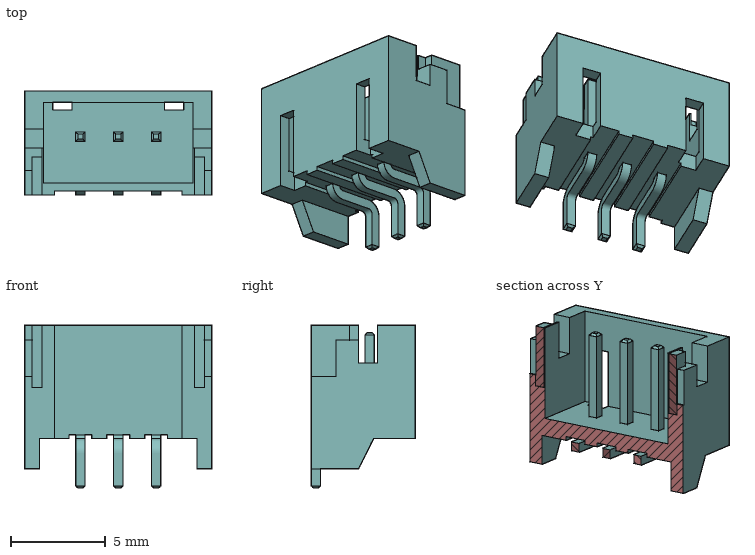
import cadquery as cq


HOUSING_WIDTH = 9.9
HOUSING_DEPTH = 5.5
HOUSING_HEIGHT = 6.0
SIDE_WALL = 1.01
BACK_WALL = 0.6
FRONT_WALL = 0.63
FLOOR = 1.0

FOOT_WIDTH = 0.8
FOOT_DROP = 1.59
FOOT_BOTTOM_LENGTH = 2.5
FOOT_TOP_LENGTH = 3.31

PANEL_RECESS_WIDTH = 6.73
PANEL_RECESS_DEPTH = 0.22

SIDE_SLOT_FRONT = 2.5
SIDE_SLOT_LENGTH = 0.99
SIDE_SLOT_DEPTH = 2.0

WINDOW_WIDTH = 1.0
WINDOW_SPACING = 5.9
WINDOW_DROP = 2.0
WINDOW_FLOOR_LENGTH = 0.4

TAB_THICKNESS = 0.5
TAB_LENGTH = 2.02
TAB_HEIGHT = 3.3
TAB_BACKING = 0.1
UPPER_STEP_DROP = 0.79
LOWER_STEP_DROP = 2.7
LOWER_STEP_LENGTH = 1.31

PIN_COUNT = 3
PIN_PITCH = 2.0
PIN_SIZE = 0.5
PIN_REAR_FACE = 3.35
PIN_TOP_DROP = 0.4
PIN_TAIL_DROP = 2.6
PIN_TIP_CHAMFER = 0.12
BEND_OUTER_RADIUS = 0.76

CHANNEL_WIDTH = 1.2
CHANNEL_DEPTH = 0.21

half_width = HOUSING_WIDTH / 2
step_width = SIDE_WALL - TAB_BACKING
tab_outer = half_width - step_width + TAB_THICKNESS
pin_xs = [PIN_PITCH * (i - (PIN_COUNT - 1) / 2) for i in range(PIN_COUNT)]


def box(x_range, y_range, z_range):
    """Box between the given limits along each axis."""
    (x0, x1), (y0, y1), (z0, z1) = x_range, y_range, z_range
    return cq.Workplane("XY").box(x1 - x0, y1 - y0, z1 - z0, centered=False).translate((x0, y0, z0))


def mirrored(shape):
    """The shape together with its mirror image across X = 0."""
    return shape.union(shape.mirror("YZ"))


def make_pin(x):
    """Square pin that goes down through the floor, forward below the base, and down again."""
    top = HOUSING_HEIGHT - PIN_TOP_DROP
    run_top = 0
    run_bottom = run_top - PIN_SIZE
    outer = BEND_OUTER_RADIUS
    inner = outer - PIN_SIZE
    rear = PIN_REAR_FACE
    diagonal = 0.5 ** 0.5

    rear_y, rear_z = rear - outer, run_bottom + outer
    front_y, front_z = outer, run_top - outer

    def on_rear(radius):
        return rear_y + radius * diagonal, rear_z - radius * diagonal

    def on_front(radius):
        return front_y - radius * diagonal, front_z + radius * diagonal

    pin = (
        cq.Workplane("YZ")
        .moveTo(rear, top)
        .lineTo(rear, rear_z)
        .threePointArc(on_rear(outer), (rear_y, run_bottom))
        .lineTo(front_y, run_bottom)
        .threePointArc(on_front(inner), (PIN_SIZE, front_z))
        .lineTo(PIN_SIZE, -PIN_TAIL_DROP)
        .lineTo(0, -PIN_TAIL_DROP)
        .lineTo(0, front_z)
        .threePointArc(on_front(outer), (front_y, run_top))
        .lineTo(rear_y, run_top)
        .threePointArc(on_rear(inner), (rear - PIN_SIZE, rear_z))
        .lineTo(rear - PIN_SIZE, top)
        .close()
        .extrude(PIN_SIZE / 2, both=True)
    )
    pin = pin.faces(">Z").chamfer(PIN_TIP_CHAMFER).faces("<Z").chamfer(PIN_TIP_CHAMFER)
    return pin.translate((x, 0, 0))


def make_tab(side):
    """Flat fitting tab at one end of the front face; side is -1 or 1."""
    tab = box((tab_outer - TAB_THICKNESS, tab_outer), (0, TAB_LENGTH),
              (HOUSING_HEIGHT - TAB_HEIGHT, HOUSING_HEIGHT))
    return tab if side > 0 else tab.mirror("YZ")


def make_shell():
    """Open-topped box with a foot at each end."""
    shell = box((-half_width, half_width), (0, HOUSING_DEPTH), (0, HOUSING_HEIGHT))
    foot = (
        cq.Workplane("YZ", origin=(half_width - FOOT_WIDTH, 0, 0))
        .polyline([(0, 0), (0, -FOOT_DROP), (FOOT_BOTTOM_LENGTH, -FOOT_DROP), (FOOT_TOP_LENGTH, 0)])
        .close()
        .extrude(FOOT_WIDTH)
    )
    cavity = box((SIDE_WALL - half_width, half_width - SIDE_WALL),
                 (FRONT_WALL, HOUSING_DEPTH - BACK_WALL), (FLOOR, HOUSING_HEIGHT))
    return shell.union(mirrored(foot)).cut(cavity)


def panel_recess():
    """Recess over the full height of the front face."""
    half = PANEL_RECESS_WIDTH / 2
    return box((-half, half), (0, PANEL_RECESS_DEPTH), (0, HOUSING_HEIGHT))


def side_slots():
    """Slots through the top of both side walls."""
    return mirrored(box((half_width - SIDE_WALL, half_width),
                        (SIDE_SLOT_FRONT, SIDE_SLOT_FRONT + SIDE_SLOT_LENGTH),
                        (HOUSING_HEIGHT - SIDE_SLOT_DEPTH, HOUSING_HEIGHT)))


def side_steps():
    """Two steps that lower the outside of both side walls beside the tabs."""
    x_range = (half_width - step_width, half_width)
    upper = box(x_range, (0, SIDE_SLOT_FRONT), (HOUSING_HEIGHT - UPPER_STEP_DROP, HOUSING_HEIGHT))
    lower = box((tab_outer, half_width), (0, LOWER_STEP_LENGTH),
                (HOUSING_HEIGHT - LOWER_STEP_DROP, HOUSING_HEIGHT))
    return mirrored(upper.union(lower))


def windows():
    """Openings through the back wall that continue down through the floor."""
    centre = WINDOW_SPACING / 2
    return mirrored(box((centre - WINDOW_WIDTH / 2, centre + WINDOW_WIDTH / 2),
                        (HOUSING_DEPTH - BACK_WALL - WINDOW_FLOOR_LENGTH, HOUSING_DEPTH),
                        (0, HOUSING_HEIGHT - WINDOW_DROP)))


def pin_channel(x):
    """Shallow channel along the underside of the base at one pin."""
    return box((x - CHANNEL_WIDTH / 2, x + CHANNEL_WIDTH / 2), (0, HOUSING_DEPTH), (0, CHANNEL_DEPTH))


pins = [make_pin(x) for x in pin_xs]
tabs = [make_tab(side) for side in (-1, 1)]

housing = make_shell().cut(panel_recess()).cut(side_slots()).cut(side_steps()).cut(windows())
for x in pin_xs:
    housing = housing.cut(pin_channel(x))

for insert in pins + tabs:
    housing = housing.cut(insert)

result = cq.Compound.makeCompound([
    housing.solids().val(),
    *[pin.solids().val() for pin in pins],
    *[tab.solids().val() for tab in tabs],
])